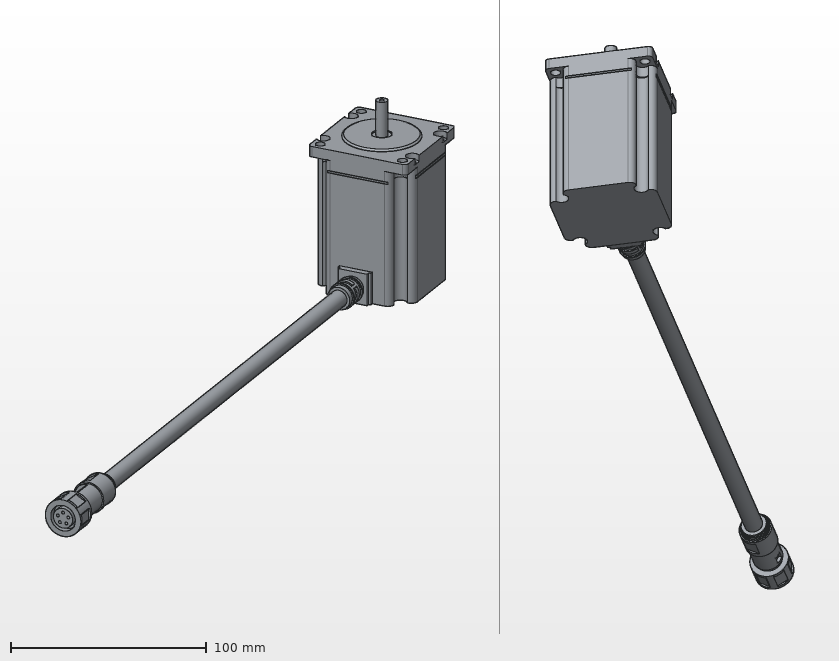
import cadquery as cq
import math

side = 56.2
half = side / 2
flange_top = 81.0
flange_thick = 6.0
cap_depth = 11.7
flange_corner_r = 2.5
boss_d = 41.0
boss_height = 1.0
boss_chamfer = 0.98
shaft_top = 100.8
shaft_d = 6.2
shaft_centre_hole_d = 2.5
shaft_centre_hole_depth = 1.5
shaft_recess_d = 10.5
shaft_recess_depth = 0.8
mount_half_pitch = 23.5
mount_hole_d = 5.0
screw_head_d = 7.0
screw_head_depth = 3.5
screw_socket_d = 3.5
screw_socket_depth = 1.5
screw_x = half - 2.7
screw_y = half - 12.0
seam_depth = 0.5
side_seam_height = 1.5
front_seam_height = 1.0

flute_start = 12.5
ridge_r = 3.5
lip_in = 4.0
flute_bottom = 9.8
cap_flute_bottom = 9.0

cable_x = -0.8
cable_z = 8.5
cable_d = 9.5
plate_height = 17.5
plate_width = 18.7
plate_step_width = 16.5
plate_layer = 1.75
neck_r = 6.2
neck_length = 19.5
rib_r = 7.0
thin_rib_width = 0.8
middle_rib_width = 2.5
rib_first = 6.5
rib_pitch = 4.5
rib_count = 3
rib_notch = 1.5

connector_back = -315.5
connector_end = half - 390.5
gland_start_r = 6.5
gland_end_r = 8.0
gland_length = 4.0
grip_r = 8.5
grip_end = 17.5
barrel_r = 8.0
barrel_end = 32.0
collar_r = 7.0
collar_end = 34.5
nut_r = 10.0
nut_rim = 1.5
nut_recess = 0.98
nut_recess_count = 6
nut_recess_width = 6.2
flat_angle = 30
flat_distance = 7.6
flat_start = 6.0
flat_length = 9.0
window_floor = 6.0
label_angle = 40
label_start = 18.7
label_length = 11.0
label_width = 9.5
latch_angle = 120
latch_start = 25.8
latch_length = 4.5
latch_width = 4.0
gland_groove_count = 2
gland_groove_first = 0.8
gland_groove_pitch = 1.5
gland_groove_width = 0.8
gland_groove_r = 6.0
socket_outer_r = 7.0
socket_inner_r = 5.5
socket_depth = 4.0
contact_count = 5
contact_d = 1.5
contact_circle_r = 3.0


def block(x0, x1, y0, y1, z0, z1):
    """Box between two corners."""
    return cq.Workplane("XY").box(x1 - x0, y1 - y0, z1 - z0, centered=False).translate((x0, y0, z0))


def rod_along_y(radius, y_back, y_front):
    """Cylinder on the cable axis, from y_back towards -Y."""
    plane = cq.Workplane("XZ", origin=(cable_x, y_back, cable_z))
    return plane.circle(radius).extrude(y_back - y_front)


def key_block(width, y_back, length, low, high):
    """Box centred on the cable axis in X, reaching from low to high above that axis."""
    box = cq.Workplane("XY").box(width, length, high - low, centered=(True, False, False))
    return box.translate((cable_x, y_back - length, cable_z + low))


def turned(body, angle):
    """Body turned about the cable axis, from +Z towards -X for a positive angle."""
    return body.rotate((cable_x, 0, cable_z), (cable_x, -1, cable_z), angle)


def fluted_square(bottom):
    """Square outline with a rounded flute, edged by two ridges, at each corner."""
    ridge_along = flute_start - ridge_r * math.sin(math.pi / 4)
    ridge_in = ridge_r - ridge_r * math.cos(math.pi / 4)
    lip_along = flute_start - math.sqrt(ridge_r**2 - (lip_in - ridge_r) ** 2)
    corner = [
        (flute_start, 0),
        (ridge_along, ridge_in),
        (lip_along, lip_in),
        (bottom, bottom),
        (lip_in, lip_along),
        (ridge_in, ridge_along),
        (0, flute_start),
    ]
    signs = [(1, 1), (1, -1), (-1, -1), (-1, 1)]
    outline = None
    for index, (sx, sy) in enumerate(signs):
        in_order = corner if index % 2 == 0 else corner[::-1]
        points = [(sx * (half - a), sy * (half - b)) for a, b in in_order]
        if outline is None:
            outline = cq.Workplane("XY").moveTo(*points[0])
        else:
            outline = outline.lineTo(*points[0])
        for middle, end in zip(points[1::2], points[2::2]):
            outline = outline.threePointArc(middle, end)
    return outline.close()


def build_motor():
    seam = flange_top - cap_depth
    motor = fluted_square(flute_bottom).extrude(seam)
    cap = fluted_square(cap_flute_bottom).extrude(cap_depth - flange_thick)
    motor = motor.union(cap.translate((0, 0, seam)))
    flange = block(-half, half, -half, half, flange_top - flange_thick, flange_top)
    motor = motor.union(flange.edges("|Z").fillet(flange_corner_r))

    top = cq.Workplane("XY", origin=(0, 0, flange_top))
    motor = motor.union(top.circle(boss_d / 2).extrude(boss_height).faces(">Z").chamfer(boss_chamfer))
    recess_floor = flange_top + boss_height - shaft_recess_depth
    recess = cq.Workplane("XY", origin=(0, 0, recess_floor)).circle(shaft_recess_d / 2)
    motor = motor.cut(recess.extrude(shaft_recess_depth))
    shaft = top.circle(shaft_d / 2).extrude(shaft_top - flange_top)
    motor = motor.union(shaft.faces(">Z").workplane().hole(shaft_centre_hole_d, shaft_centre_hole_depth))

    mount_pitch = 2 * mount_half_pitch
    mount_holes = top.rect(mount_pitch, mount_pitch, forConstruction=True).vertices()
    motor = motor.cut(mount_holes.circle(mount_hole_d / 2).extrude(-flange_thick))
    screws = top.rect(2 * screw_x, 2 * screw_y, forConstruction=True).vertices()
    motor = motor.cut(screws.circle(screw_head_d / 2).extrude(-screw_head_depth))
    motor = motor.cut(screws.circle(screw_socket_d / 2).extrude(-screw_head_depth - screw_socket_depth))

    for sign in (1, -1):
        depth_range = sorted((sign * half, sign * (half - seam_depth)))
        motor = motor.cut(block(*depth_range, -half, half, seam, seam + side_seam_height))
        motor = motor.cut(block(-half, half, *depth_range, seam - front_seam_height, seam))
    return motor


def neck_rib(middle, width):
    """Ring around the strain relief, centred on a place along Y."""
    return rod_along_y(rib_r, middle + width / 2, middle - width / 2)


def parted_rib(middle, width):
    """Ring parted into four pads."""
    rib = neck_rib(middle, width)
    slot = key_block(rib_notch, middle + width / 2, width, -rib_r, rib_r)
    for angle in (45, -45):
        rib = rib.cut(turned(slot, angle))
    return rib


def build_cable():
    face = -half
    cable = rod_along_y(cable_d / 2, face, connector_back)

    for width, layers in ((plate_width, 1), (plate_step_width, 2)):
        cable = cable.union(key_block(width, face, layers * plate_layer, -cable_z, plate_height - cable_z))

    cable = cable.union(rod_along_y(neck_r, face, face - neck_length))
    for index in range(rib_count):
        middle = face - rib_first - index * rib_pitch
        if index == rib_count // 2:
            cable = cable.union(parted_rib(middle, middle_rib_width))
        else:
            cable = cable.union(neck_rib(middle, thin_rib_width))
    return cable


def build_connector():
    length = connector_back - connector_end

    steps = [
        (0, 0),
        (gland_start_r, 0),
        (gland_end_r, gland_length),
        (grip_r, gland_length),
        (grip_r, grip_end),
        (barrel_r, grip_end),
        (barrel_r, barrel_end),
        (collar_r, barrel_end),
        (collar_r, collar_end),
        (nut_r, collar_end),
        (nut_r, length),
        (0, length),
    ]
    half_section = cq.Workplane("XY").polyline([(r, -along) for r, along in steps]).close()
    connector = half_section.revolve(360, (0, 0), (0, 1)).translate((cable_x, connector_back, cable_z))

    flat = key_block(2 * grip_r, connector_back - flat_start, flat_length, flat_distance, grip_r)
    for angle in (flat_angle, flat_angle + 180):
        connector = connector.cut(turned(flat, angle))

    label = key_block(label_width, connector_back - label_start, label_length, window_floor, barrel_r)
    connector = connector.cut(turned(label, label_angle))
    latch = key_block(latch_width, connector_back - latch_start, latch_length, window_floor, barrel_r)
    connector = connector.cut(turned(latch, latch_angle))

    recess_back = connector_back - collar_end - nut_rim
    recess_length = recess_back - connector_end - nut_rim
    recess = key_block(nut_recess_width, recess_back, recess_length, nut_r - nut_recess, nut_r)
    for index in range(nut_recess_count):
        connector = connector.cut(turned(recess, (index + 0.5) * 360 / nut_recess_count))

    for index in range(gland_groove_count):
        groove_back = connector_back - gland_groove_first - index * gland_groove_pitch
        ring = rod_along_y(gland_end_r, groove_back, groove_back - gland_groove_width)
        core = rod_along_y(gland_groove_r, groove_back, groove_back - gland_groove_width)
        connector = connector.cut(ring.cut(core))

    socket = rod_along_y(socket_outer_r, connector_end + socket_depth, connector_end)
    insert = rod_along_y(socket_inner_r, connector_end + socket_depth, connector_end)
    connector = connector.cut(socket.cut(insert))

    end_face = cq.Workplane("XZ", origin=(cable_x, connector_end, cable_z))
    contacts = end_face.polarArray(contact_circle_r, 90, 360, contact_count).circle(contact_d / 2)
    return connector.cut(contacts.extrude(-socket_depth))


motor = build_motor()
cable = build_cable()
connector = build_connector()

result = cq.Compound.makeCompound([motor.solids().val(), cable.solids().val(), connector.solids().val()])